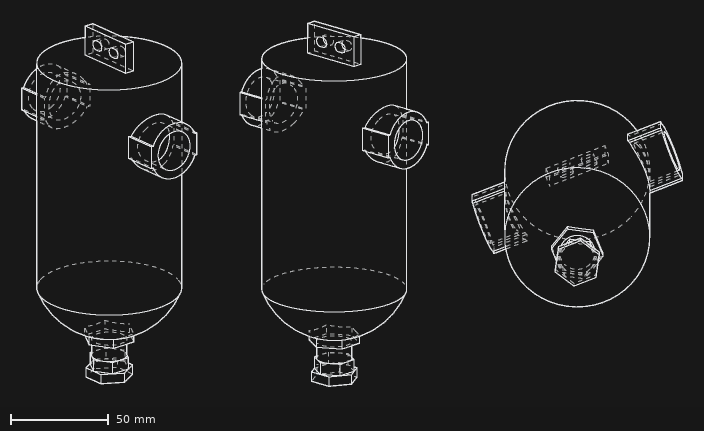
import cadquery as cq
import math

total_height = 188.0
lug_height = 16.0
body_top = total_height - lug_height
body_bottom = 48.1

body_radius = 74.0 / 2
dome_depth = 25.4
dome_bottom = body_bottom - dome_depth
dome_radius = (body_radius**2 + dome_depth**2) / (2 * dome_depth)

port_span = 104.0
port_diameter = 30.0
port_bore = 21.0
port_flat_height = 12.0
port_center_z = 139.9

lug_width = 32.3
lug_thickness = 5.0
slot_length = 7.0
slot_height = 5.0
slot_spacing = 13.0

drain_nut_top = 5.0
small_hex_top = 11.3
neck_top = 20.3
drain_nut_flats = 21.0
neck_diameter = 18.0
collar_flats = 23.1


def vessel():
    """Cylinder and spherical bottom, revolved about Z."""
    arc_middle_radius = body_radius / 2
    sphere_center_z = dome_bottom + dome_radius
    arc_middle_z = sphere_center_z - math.sqrt(dome_radius**2 - arc_middle_radius**2)
    return (
        cq.Workplane("XZ")
        .moveTo(0, dome_bottom)
        .threePointArc((arc_middle_radius, arc_middle_z), (body_radius, body_bottom))
        .lineTo(body_radius, body_top)
        .lineTo(0, body_top)
        .close()
        .revolve(360, (0, 0, 0), (0, 1, 0))
    )


def ports(body):
    """Opposed sockets with side flats; their bores stop at the body wall."""
    barrel_plane = cq.Workplane("YZ").center(0, port_center_z)
    barrel = barrel_plane.circle(port_diameter / 2).extrude(port_span / 2, both=True)
    flats = barrel_plane.rect(port_diameter, port_flat_height).extrude(port_span / 2, both=True)
    bore = barrel_plane.circle(port_bore / 2).extrude(port_span / 2, both=True)
    return barrel.union(flats).cut(bore).cut(body)


def lug():
    """Upright plate with two horizontal slots."""
    overlap = 1.9
    plate = (
        cq.Workplane("XY", origin=(0, 0, body_top - overlap))
        .rect(lug_width, lug_thickness)
        .extrude(lug_height + overlap)
    )
    slots = (
        cq.Workplane("XZ", origin=(0, 0, body_top + lug_height / 2))
        .rarray(slot_spacing, 1.9, 2, 1)
        .slot2D(slot_length, slot_height)
        .extrude(lug_thickness, both=True)
    )
    return plate.cut(slots)


def hexagon(across_flats, bottom, top, corner_angle):
    """Hexagonal prism with one corner at corner_angle degrees from +X."""
    across_corners = across_flats / math.cos(math.radians(30))
    prism = cq.Workplane("XY", origin=(0, 0, bottom)).polygon(6, across_corners).extrude(top - bottom)
    return prism.rotate((0, 0, 0), (0, 0, 1), corner_angle)


def drain_fitting():
    """Hexagon nut, small hexagon, round neck and hexagon collar, from the bottom up."""
    collar_top = body_bottom - dome_depth / 2
    nut = hexagon(drain_nut_flats, 0, drain_nut_top, 0)
    small_hex = hexagon(neck_diameter, drain_nut_top, small_hex_top, 90)
    neck = (
        cq.Workplane("XY", origin=(0, 0, small_hex_top))
        .circle(neck_diameter / 2)
        .extrude(neck_top - small_hex_top)
    )
    collar = hexagon(collar_flats, neck_top, collar_top, 90)
    return nut.union(small_hex).union(neck).union(collar)


body = vessel()
result = body.union(ports(body)).union(lug()).union(drain_fitting())